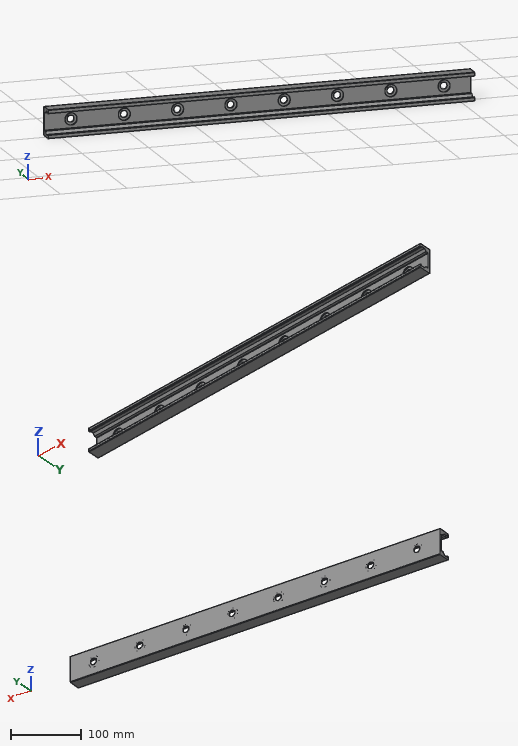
import cadquery as cq

length = 640.0
depth = 21.0
height = 43.0

web_thickness = 4.0
half_height = height / 2
shoulder_half_height = 13.5
lip_half_height = 15.5
raceway_half_height = 17.0
shoulder_width = 4.5
lip_width = 2.5
shoulder_slope_width = 3.0
lip_slope_width = 0.5
outer_chamfer = 0.95
corner_chamfer = 0.5
lip_chamfer = 0.95

hole_count = 8
hole_pitch = 80.0
hole_diameter = 10.0
counterbore_diameter = 18.0
counterbore_depth = 2.0

front_y = -depth / 2
back_y = depth / 2
web_y = back_y - web_thickness
shoulder_y = web_y - shoulder_width
lip_y = front_y + lip_width


def make_half_profile():
    """Upper half of the C section, with a flat-floored raceway and a chamfered lip."""
    return (
        cq.Workplane("YZ")
        .workplane(offset=-length / 2)
        .moveTo(back_y, 0)
        .lineTo(back_y, half_height - outer_chamfer)
        .lineTo(back_y - outer_chamfer, half_height)
        .lineTo(front_y + outer_chamfer, half_height)
        .lineTo(front_y, half_height - outer_chamfer)
        .lineTo(front_y, lip_half_height + lip_chamfer)
        .lineTo(front_y + lip_chamfer, lip_half_height)
        .lineTo(lip_y, lip_half_height)
        .lineTo(lip_y + lip_slope_width, raceway_half_height)
        .lineTo(shoulder_y - shoulder_slope_width, raceway_half_height)
        .lineTo(shoulder_y, shoulder_half_height)
        .lineTo(web_y - corner_chamfer, shoulder_half_height)
        .lineTo(web_y, shoulder_half_height - corner_chamfer)
        .lineTo(web_y, 0)
        .close()
    )


def make_rail():
    upper_half = make_half_profile().extrude(length)
    return upper_half.union(upper_half.mirror("XY")).clean()


def cut_mounting_holes(rail):
    """Counterbored holes through the web, opening into the channel."""
    row_length = (hole_count - 1) * hole_pitch
    for index in range(hole_count):
        x = index * hole_pitch - row_length / 2
        seat = cq.Workplane("XZ", origin=(x, web_y + counterbore_depth, 0))
        counterbore = seat.circle(counterbore_diameter / 2).extrude(counterbore_depth)
        hole = cq.Workplane("XZ", origin=(x, back_y, 0)).circle(hole_diameter / 2).extrude(web_thickness)
        rail = rail.cut(counterbore).cut(hole)
    return rail


result = cut_mounting_holes(make_rail())